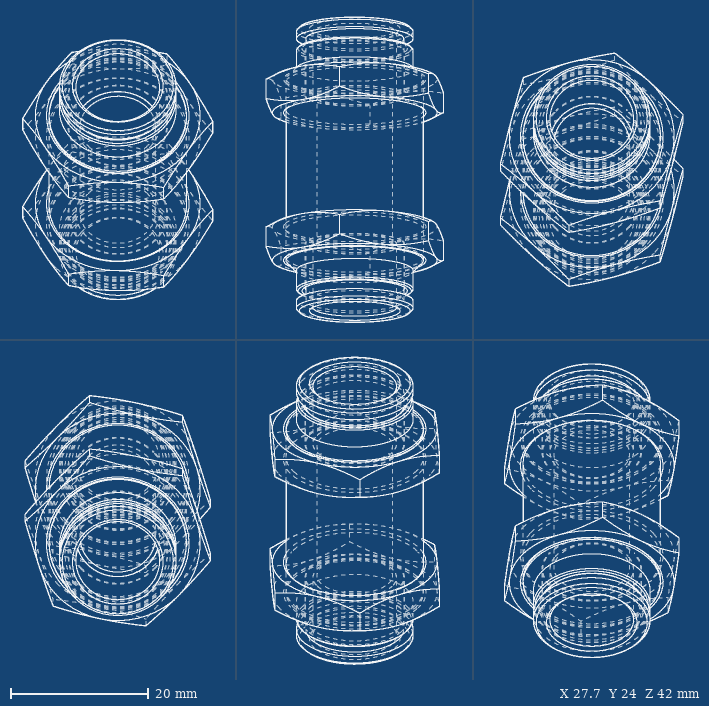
import cadquery as cq
import math

total_length = 42.0
mid_height = total_length / 2

flange_diameter = 17.0
flange_thickness = 1.5
flange_chamfer = 0.4
sleeve_diameter = 14.3
sleeve_bore = 12.2
sleeve_mouth_diameter = 13.2
sleeve_length = 10.0

housing_inset = 3.0
collar_diameter = flange_diameter
collar_length = 3.02
collar_chamfer = 0.25
barrel_diameter = 20.0
housing_bore = 11.0
bore_mouth_diameter = 12.15
bore_mouth_slope = 30.0
recess_diameter = 14.5
recess_chamfer = 0.4
shoulder_height = (barrel_diameter - collar_diameter) / 2

nut_across_flats = 24.0
nut_across_corners = nut_across_flats / math.cos(math.radians(30))
nut_height = 5.0
nut_inset = 7.5
nut_corner_angle = 30.0
nut_mouth_diameter = 20.75


def revolve_about_z(profile):
    """Solid of revolution from a closed (radius, height) outline."""
    return cq.Workplane("XZ").polyline(profile).close().revolve(360, (0, 0), (0, 1))


def mirror_to_top(body):
    """Copy of a lower-end body at the upper end of the coupling."""
    return body.mirror("XY", (0, 0, mid_height))


def make_housing():
    """Barrel with a conical shoulder and a collar at each end, bored and recessed."""
    collar_end = housing_inset + collar_length
    bore_mouth_width = (bore_mouth_diameter - housing_bore) / 2
    bore_mouth_depth = bore_mouth_width * math.tan(math.radians(bore_mouth_slope))
    lower_outline = [
        (housing_bore / 2, sleeve_length + bore_mouth_depth),
        (bore_mouth_diameter / 2, sleeve_length),
        (recess_diameter / 2, sleeve_length),
        (recess_diameter / 2, housing_inset + recess_chamfer),
        (recess_diameter / 2 + recess_chamfer, housing_inset),
        (collar_diameter / 2 - collar_chamfer, housing_inset),
        (collar_diameter / 2, housing_inset + collar_chamfer),
        (collar_diameter / 2, collar_end),
        (barrel_diameter / 2, collar_end + shoulder_height),
    ]
    upper_outline = [(radius, total_length - height) for radius, height in reversed(lower_outline)]
    return revolve_about_z(lower_outline + upper_outline)


def make_sleeve():
    """Lower release sleeve: a tube with a chamfered end flange and a flared mouth."""
    mouth_depth = (sleeve_mouth_diameter - sleeve_bore) / 2
    return revolve_about_z([
        (sleeve_mouth_diameter / 2, 0),
        (flange_diameter / 2 - flange_chamfer, 0),
        (flange_diameter / 2, flange_chamfer),
        (flange_diameter / 2, flange_thickness),
        (sleeve_diameter / 2, flange_thickness),
        (sleeve_diameter / 2, sleeve_length),
        (sleeve_bore / 2, sleeve_length),
        (sleeve_bore / 2, mouth_depth),
    ])


def make_nut():
    """Lower hexagon nut: corners turned off at both faces, bore chamfered at both ends."""
    corner_overhang = (nut_across_corners - nut_across_flats) / 2
    corner_drop = corner_overhang * math.tan(math.radians(nut_corner_angle))
    mouth_depth = (nut_mouth_diameter - barrel_diameter) / 2
    bottom = nut_inset
    top = nut_inset + nut_height
    hexagon = cq.Workplane("XY").workplane(offset=bottom).polygon(6, nut_across_corners).extrude(nut_height)
    turned_ring = revolve_about_z([
        (nut_mouth_diameter / 2, bottom),
        (nut_across_flats / 2, bottom),
        (nut_across_corners / 2, bottom + corner_drop),
        (nut_across_corners / 2, top - corner_drop),
        (nut_across_flats / 2, top),
        (nut_mouth_diameter / 2, top),
        (barrel_diameter / 2, top - mouth_depth),
        (barrel_diameter / 2, bottom + mouth_depth),
    ])
    return hexagon.intersect(turned_ring)


housing = make_housing()

end_bodies = []
for lower_body in (make_sleeve(), make_nut()):
    end_bodies.append(lower_body.val())
    end_bodies.append(mirror_to_top(lower_body).val())

result = cq.Compound.makeCompound([housing.val(), *end_bodies])